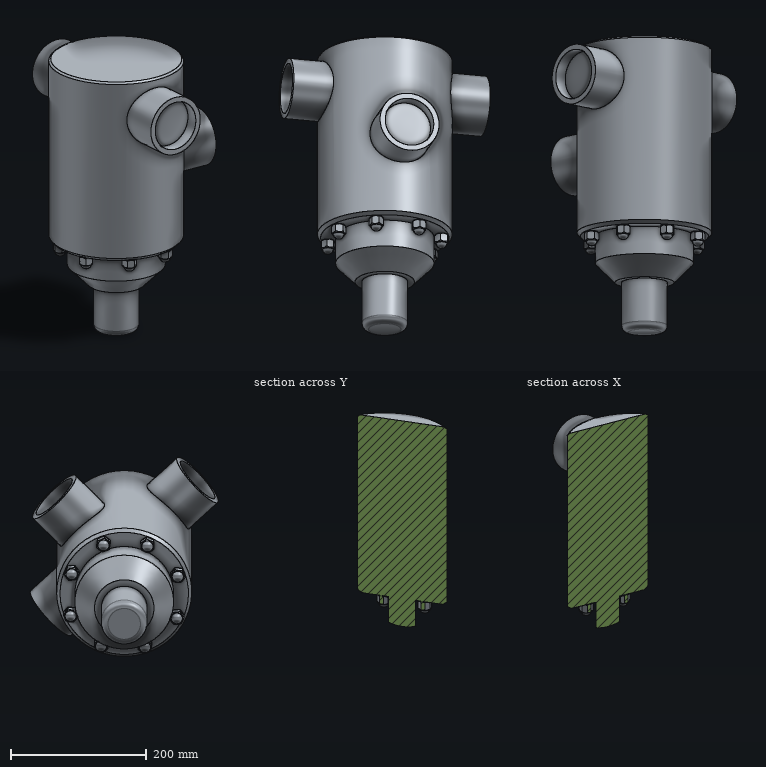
import cadquery as cq
import math

overall_length = 300.0
overall_height = 428.0
rear_port_reach = 150.0

body_radius = 100.0
body_height = 283.0
body_top_chamfer = 3.0
body_bottom_chamfer = 5.0

neck_radius = 73.0
neck_height = 41.0
cone_height = 29.0
cone_end_radius = neck_radius - cone_height

stem_radius = 34.0
stem_tip_fillet = 10.0
stem_tip_z = body_height - overall_height

port_radius = 45.0
port_bore_radius = 37.0
port_bore_depth = 20.0
side_port_z = body_height - 60.0
rear_port_z = body_height - 155.0

nut_count = 8
nut_circle_radius = 85.0
nut_across_flats = 19.0
nut_hex_height = 14.0
nut_total_height = 21.0
nut_dome_radius = 8.5
nut_half_side_angle = 30.0
nut_corner_radius = nut_across_flats / 2 / math.cos(math.radians(nut_half_side_angle))
nut_corner_chamfer = 2.2
nut_dome_center_depth = nut_total_height - nut_dome_radius


def make_body():
    """Main cylinder with chamfered rims."""
    body = cq.Workplane("XY").circle(body_radius).extrude(body_height)
    body = body.faces(">Z").chamfer(body_top_chamfer)
    return body.faces("<Z").chamfer(body_bottom_chamfer)


def make_lower_end():
    """Neck, cone and round-tipped stem, revolved about Z."""
    cone_end_z = -neck_height - cone_height
    arc_offset = stem_tip_fillet * math.sqrt(0.5)
    arc_middle = (
        stem_radius - stem_tip_fillet + arc_offset,
        stem_tip_z + stem_tip_fillet - arc_offset,
    )
    profile = (
        cq.Workplane("XZ")
        .lineTo(neck_radius, 0)
        .lineTo(neck_radius, -neck_height)
        .lineTo(cone_end_radius, cone_end_z)
        .lineTo(stem_radius, cone_end_z)
        .lineTo(stem_radius, stem_tip_z + stem_tip_fillet)
        .threePointArc(arc_middle, (stem_radius - stem_tip_fillet, stem_tip_z))
        .lineTo(0, stem_tip_z)
        .close()
    )
    return profile.revolve(360, (0, 0, 0), (0, 1, 0))


def add_port(part, angle, reach, height):
    """Join a radial pipe with a blind bore, pointing at the given angle from +X."""
    def along_port(radius, start, length):
        return (
            cq.Workplane("YZ", origin=(start, 0, height))
            .circle(radius)
            .extrude(length)
            .rotate((0, 0, 0), (0, 0, 1), angle)
        )

    pipe = along_port(port_radius, 0, reach)
    bore = along_port(port_bore_radius, reach - port_bore_depth, port_bore_depth)
    return part.union(pipe).cut(bore)


def make_nut():
    """Corner-chamfered hexagonal nut with a domed end, a flat facing outward along +X."""
    hexagon = (
        cq.Workplane("XY")
        .polygon(6, 2 * nut_corner_radius)
        .extrude(-nut_hex_height)
        .rotate((0, 0, 0), (0, 0, 1), nut_half_side_angle)
    )
    chamfered_disc = (
        cq.Workplane("XY")
        .circle(nut_corner_radius)
        .extrude(-nut_hex_height)
        .faces("|Z")
        .edges()
        .chamfer(nut_corner_chamfer)
    )
    hexagon = hexagon.intersect(chamfered_disc)
    dome = cq.Workplane("XY").sphere(nut_dome_radius).translate((0, 0, -nut_dome_center_depth))
    return hexagon.union(dome).translate((nut_circle_radius, 0, 0))


result = make_body().union(make_lower_end())

for side_angle in (0, 180):
    result = add_port(result, side_angle, overall_length / 2, side_port_z)
result = add_port(result, 90, rear_port_reach, rear_port_z)

nut_pitch = 360.0 / nut_count
for index in range(nut_count):
    nut_angle = (index + 0.5) * nut_pitch
    result = result.union(make_nut().rotate((0, 0, 0), (0, 0, 1), nut_angle))